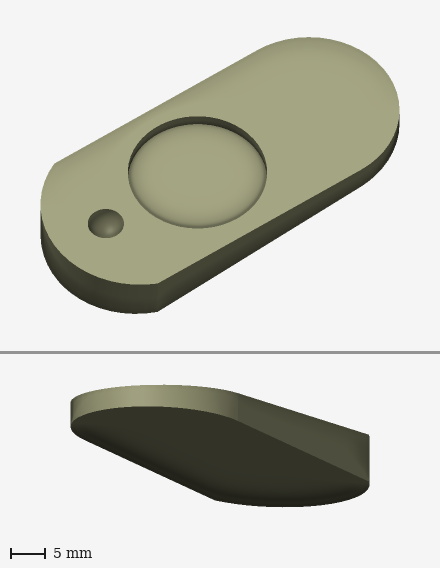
import cadquery as cq

width = 26.0
length = 56.76
front_thickness = 7.5
rear_thickness = 3.05

rear_radius = width / 2
front_arc_height = 8.31

pocket_diameter = 20.0
pocket_depth = 1.9

dimple_radius = 2.6
pocket_to_dimple = 16.0

corner_y = -pocket_to_dimple
front_y = corner_y - front_arc_height
rear_y = front_y + length
rear_arc_y = rear_y - rear_radius


def make_wedge():
    """Side profile with a flat top and a sloping underside, extruded across the width."""
    return (
        cq.Workplane("YZ")
        .moveTo(front_y, 0)
        .lineTo(rear_y, 0)
        .lineTo(rear_y, -rear_thickness)
        .lineTo(front_y, -front_thickness)
        .close()
        .extrude(width / 2, both=True)
    )


def make_outline():
    """Plan outline with rounded ends, as a prism of the full thickness."""
    return (
        cq.Workplane("XY")
        .moveTo(-width / 2, corner_y)
        .threePointArc((0, front_y), (width / 2, corner_y))
        .lineTo(width / 2, rear_arc_y)
        .threePointArc((0, rear_y), (-width / 2, rear_arc_y))
        .close()
        .extrude(-front_thickness)
    )


def make_pocket():
    """Flat-bottomed round pocket, open at the top."""
    return cq.Workplane("XY").circle(pocket_diameter / 2).extrude(-pocket_depth)


def make_dimple():
    """Sphere centred on the top face, leaving a hemispherical dimple."""
    return cq.Workplane("XY").center(0, corner_y).sphere(dimple_radius)


result = make_wedge().intersect(make_outline()).cut(make_pocket()).cut(make_dimple())